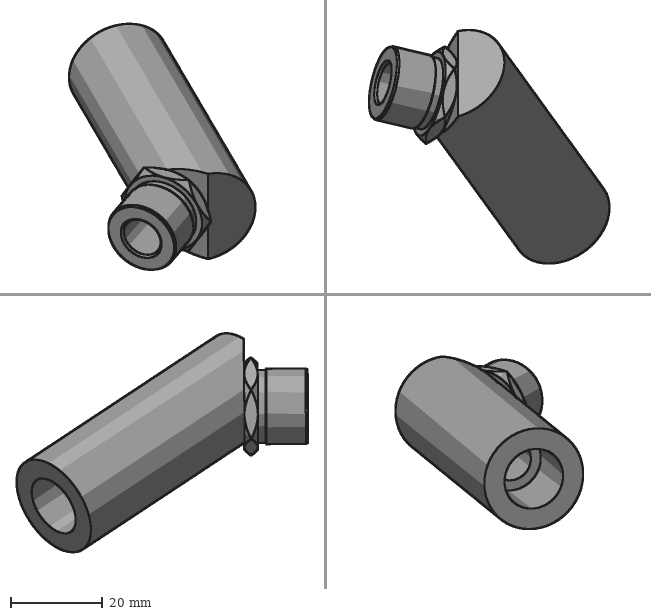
import cadquery as cq
import math

BODY_DIAMETER = 23.0
BODY_LENGTH = 60.0

OUTLET_ANGLE = 45.0
ELBOW_X = 47.09
MITRE_X = 59.5

HEX_SIDES = 6
HEX_ACROSS_FLATS = 19.0
HEX_THICKNESS = 3.0
HEX_CHAMFER = HEX_THICKNESS / 2

NECK_DIAMETER = 16.1
NECK_LENGTH = 1.7
THREAD_DIAMETER = 16.66
THREAD_START_CHAMFER = 0.2
SPIGOT_LENGTH = 14.0
TIP_CHAMFER_LENGTH = 0.5
TIP_CHAMFER_DEPTH = 0.25

BORE_DIAMETER = 9.0
SOCKET_DIAMETER = 13.6
SOCKET_DEPTH = 15.0
MOUTH_CHAMFER = 0.5

angle = math.radians(OUTLET_ANGLE)
outlet_direction = (math.cos(angle), -math.sin(angle), 0)
elbow_to_face = (MITRE_X - ELBOW_X) * math.cos(angle)
outlet_plane = cq.Plane(
    origin=(
        ELBOW_X + elbow_to_face * outlet_direction[0],
        elbow_to_face * outlet_direction[1],
        0,
    ),
    xDir=(math.sin(angle), math.cos(angle), 0),
    normal=outlet_direction,
)


def revolve_about_outlet(points):
    """Turn an outline of (radius, height) points about the local Z axis of the outlet."""
    solid = cq.Workplane("XZ").polyline(points).close().revolve(360, (0, 0), (0, 1)).val()
    return cq.Workplane(solid.moved(outlet_plane.location))


def make_body():
    """Round bar with the end toward the outlet cut off along the slanted face."""
    bar = cq.Workplane("YZ").circle(BODY_DIAMETER / 2).extrude(BODY_LENGTH)
    block_side = 4 * BODY_DIAMETER
    beyond_face = cq.Workplane(outlet_plane).rect(block_side, block_side).extrude(block_side)
    return bar.cut(beyond_face)


def make_hexagon():
    """Hexagon with both faces chamfered, so that the two chamfers meet at its corners."""
    across_corners = HEX_ACROSS_FLATS / math.cos(math.pi / HEX_SIDES)
    prism = cq.Workplane(outlet_plane).polygon(HEX_SIDES, across_corners).extrude(HEX_THICKNESS)
    corner_radius = across_corners / 2
    face_radius = corner_radius - HEX_CHAMFER
    envelope = revolve_about_outlet([
        (0, 0),
        (face_radius, 0),
        (corner_radius, HEX_THICKNESS / 2),
        (face_radius, HEX_THICKNESS),
        (0, HEX_THICKNESS),
    ])
    return prism.intersect(envelope)


def make_spigot():
    """Plain neck followed by the threaded length, drawn at the thread's outer diameter."""
    neck_radius = NECK_DIAMETER / 2
    thread_radius = THREAD_DIAMETER / 2
    thread_start = HEX_THICKNESS + NECK_LENGTH
    return revolve_about_outlet([
        (0, 0),
        (neck_radius, 0),
        (neck_radius, thread_start),
        (thread_radius, thread_start + THREAD_START_CHAMFER),
        (thread_radius, SPIGOT_LENGTH - TIP_CHAMFER_LENGTH),
        (thread_radius - TIP_CHAMFER_DEPTH, SPIGOT_LENGTH),
        (0, SPIGOT_LENGTH),
    ])


def make_passage():
    """Mitred bore through body and outlet, with the socket and the chamfered mouth."""
    tip = outlet_plane.toWorldCoords((0, 0, SPIGOT_LENGTH)).toTuple()
    path = cq.Workplane("XY").polyline([(0, 0), (ELBOW_X, 0), tip[:2]])
    bore = cq.Workplane("YZ").circle(BORE_DIAMETER / 2).sweep(path, transition="right")
    socket = cq.Workplane("YZ").circle(SOCKET_DIAMETER / 2).extrude(SOCKET_DEPTH)
    bore_radius = BORE_DIAMETER / 2
    mouth = revolve_about_outlet([
        (0, SPIGOT_LENGTH - MOUTH_CHAMFER),
        (bore_radius, SPIGOT_LENGTH - MOUTH_CHAMFER),
        (bore_radius + MOUTH_CHAMFER, SPIGOT_LENGTH),
        (0, SPIGOT_LENGTH),
    ])
    return bore.union(socket).union(mouth)


result = make_body().union(make_hexagon()).union(make_spigot()).cut(make_passage())